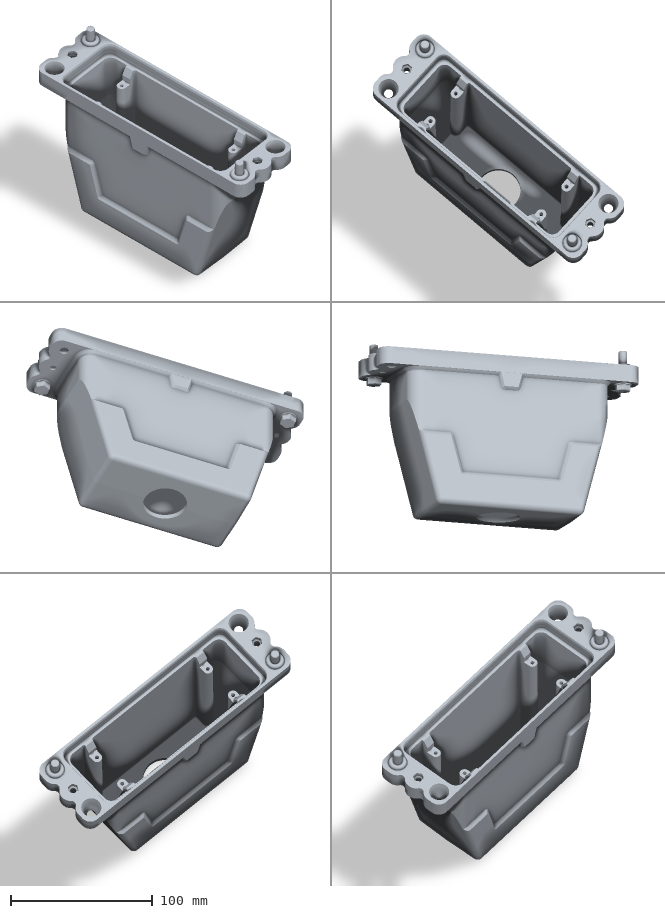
import cadquery as cq
import math


OVERALL_HEIGHT = 122.7

FLANGE_LENGTH = 193.0
FLANGE_WIDTH = 58.0
FLANGE_THICKNESS = 12.2
FLANGE_BOTTOM = -FLANGE_THICKNESS
CORNER_RADIUS = 7.3
CORNER_FLAT = 4.6
NOTCH_Y = 8.75
NOTCH_RADIUS = 3.2

BODY_LENGTH = 150.0
BODY_WIDTH = 53.2
BODY_CORNER_RADIUS = 9.0
BODY_BOTTOM = -111.0
SLOPE_TOP = -35.0
WALL_SLOPE = math.tan(math.radians(15.0))
MOULD_DRAFT = 1.0
COLLAR = 2.3
COLLAR_ANGLE = 45.0

BAND_RISE = (FLANGE_WIDTH - BODY_WIDTH) / 2
BAND_TOP = -58.0
BAND_DIP = -85.8
BAND_DIP_HALF_TOP = 43.0
BAND_DIP_HALF_BOTTOM = 35.3
BAND_BEVEL = 50.0
BAND_EDGE_RADIUS = 4.0
BAND_SHOULDER_RADIUS = 3.5
LUG_RISE = 2.3
LUG_BOTTOM = -24.4
LUG_HALF_TOP = 10.0
LUG_HALF_BOTTOM = 6.7
LUG_CORNER_RADIUS = 2.5
LUG_BEVEL = 42.0

RIM_LENGTH = 152.0
RIM_WIDTH = 54.0
RIM_RADIUS = 7.0
RIM_BEVEL = 0.6
RIM_BEVEL_DEPTH = 1.4
RECESS_DEPTH = 5.8
LEDGE_BEVEL = 0.6
LEDGE_Z = -8.4

OPENING_LENGTH = 143.6
OPENING_WIDTH = 46.8
FLOOR_WIDTH = 43.2
CAVITY_SLOPE_TOP = -42.0
CAVITY_SLOPE_HALF_LENGTH = 70.0
FLOOR_HALF_LENGTH = 52.5
FLOOR_Z = CAVITY_SLOPE_TOP - (CAVITY_SLOPE_HALF_LENGTH - FLOOR_HALF_LENGTH) / WALL_SLOPE
CAVITY_RADIUS = 6.0
FLOOR_RADIUS = 1.0
CABLE_HOLE_DIAMETER = 31.0

POST_X = 52.0
POST_Y = 13.5
POST_RADIUS = 3.5
POST_DRAFT = 0.4
POST_ROOT_RADIUS = 1.5
POST_TOP = -18.8
RAMP_HEAD_Y = 21.7
RAMP_FOOT_Y = 18.2
RAMP_FOOT_Z = -14.0
POST_WALL_Y = 24.0
POST_HOLE_DIAMETER = 2.8
POST_HOLE_DEPTH = 12.0

FASTENER_X = 86.2
FASTENER_Y = 19.4
SINK_RADIUS = 7.1
BOLT_RADIUS = 3.0
BOLT_TOP = BODY_BOTTOM + OVERALL_HEIGHT
BOLT_TIP_CHAMFER = 0.5
BOLT_CLEARANCE_RADIUS = 3.2
SEAL_RADIUS = 6.3
SEAL_HEIGHT = 2.0
SEAL_CREST_RADIUS = (SEAL_RADIUS + BOLT_RADIUS) / 2
SEAL_SEAT = -1.0
WASHER_RADIUS = 6.2
WASHER_THICKNESS = 0.8
HEX_ACROSS_CORNERS = 11.5
HEX_TURN = 23.0
HEX_HEIGHT = 4.2
HEX_CHAMFER = 0.5
NUT_HOLE_DIAMETER = 4.4
NUT_ACROSS_CORNERS = 7.8
NUT_DEPTH = 3.2


def rounded_prism(length, width, radius, top, height, taper=0.0):
    """Rounded rectangle extruded down from z = top; a positive taper shrinks it."""
    sketch = cq.Sketch().rect(length, width).vertices().fillet(radius)
    plane = cq.Workplane("XY").workplane(offset=top)
    return plane.placeSketch(sketch).extrude(-height, taper=taper)


def bevel_angle(inset, depth):
    """Taper, in degrees, that moves a wall inwards by inset over the given depth."""
    return math.degrees(math.atan2(inset, depth))


def make_flange():
    """Plate whose ends carry two ears and a middle lobe joined by tangent notches."""
    half_length = FLANGE_LENGTH / 2
    half_width = FLANGE_WIDTH / 2
    ear_x = half_length - CORNER_RADIUS
    ear_y = half_width - CORNER_RADIUS - CORNER_FLAT
    ear_gap = CORNER_RADIUS + NOTCH_RADIUS
    notch_x = ear_x + math.sqrt(ear_gap ** 2 - (ear_y - NOTCH_Y) ** 2)

    setback = notch_x - half_length
    lobe_radius = (setback ** 2 + NOTCH_Y ** 2 - NOTCH_RADIUS ** 2) / (2 * (NOTCH_RADIUS - setback))
    lobe_x = half_length - lobe_radius

    ear_share = CORNER_RADIUS / ear_gap
    lobe_share = lobe_radius / (lobe_radius + NOTCH_RADIUS)
    ear_tangent = (ear_x + (notch_x - ear_x) * ear_share, ear_y + (NOTCH_Y - ear_y) * ear_share)
    lobe_tangent = (lobe_x + (notch_x - lobe_x) * lobe_share, NOTCH_Y * lobe_share)
    ear_start = (half_length, ear_y)
    flat_end = (half_length, half_width - CORNER_RADIUS)
    half_lobe_end = (half_length, 0)
    diagonal = CORNER_RADIUS * math.sqrt(0.5)
    corner_mid = (ear_x + diagonal, half_width - CORNER_RADIUS + diagonal)

    ear_angle = math.atan2(ear_tangent[1] - ear_y, ear_tangent[0] - ear_x) / 2
    ear_mid = (ear_x + CORNER_RADIUS * math.cos(ear_angle), ear_y + CORNER_RADIUS * math.sin(ear_angle))
    lobe_angle = math.atan2(lobe_tangent[1], lobe_tangent[0] - lobe_x) / 2
    lobe_mid = (lobe_x + lobe_radius * math.cos(lobe_angle), lobe_radius * math.sin(lobe_angle))

    quarter = (
        cq.Workplane("XY")
        .lineTo(*half_lobe_end)
        .threePointArc(lobe_mid, lobe_tangent)
        .threePointArc((notch_x - NOTCH_RADIUS, NOTCH_Y), ear_tangent)
        .threePointArc(ear_mid, ear_start)
        .lineTo(*flat_end)
        .threePointArc(corner_mid, (ear_x, half_width))
        .lineTo(0, half_width)
        .close()
        .extrude(-FLANGE_THICKNESS)
    )
    half = quarter.union(quarter.mirror("XZ"))
    return half.union(half.mirror("YZ")).clean()


def drafted_front(half_width):
    """Front half of the housing envelope, drafted away from the parting plane."""
    half_top = BODY_LENGTH / 2
    half_bottom = half_top - (SLOPE_TOP - BODY_BOTTOM) * WALL_SLOPE
    outline = [
        (-half_top, 0),
        (-half_top, SLOPE_TOP),
        (-half_bottom, BODY_BOTTOM),
        (half_bottom, BODY_BOTTOM),
        (half_top, SLOPE_TOP),
        (half_top, 0),
    ]
    front = cq.Workplane("XZ").polyline(outline).close().extrude(half_width, taper=MOULD_DRAFT)
    above = cq.Workplane("XY", origin=(0, 0, FLANGE_BOTTOM)).rect(BODY_LENGTH, FLANGE_WIDTH)
    return front.cut(above.extrude(FLANGE_THICKNESS))


def make_band():
    """Thickened lower part of the housing with a bevelled, dipped upper edge."""
    front = drafted_front(FLANGE_WIDTH / 2)
    bottom_edges = front.faces("<Z").edges("not >Y")
    side_edges = front.faces("<Y").edges("not (>Z or <Z)")
    front = bottom_edges.add(side_edges).fillet(BAND_EDGE_RADIUS)
    band = front.union(front.mirror("XZ"))
    outline = [
        (-BODY_LENGTH, 0),
        (-BODY_LENGTH, BAND_TOP),
        (-BAND_DIP_HALF_TOP, BAND_TOP),
        (-BAND_DIP_HALF_BOTTOM, BAND_DIP),
        (BAND_DIP_HALF_BOTTOM, BAND_DIP),
        (BAND_DIP_HALF_TOP, BAND_TOP),
        (BODY_LENGTH, BAND_TOP),
        (BODY_LENGTH, 0),
    ]
    blank = cq.Workplane("XZ").polyline(outline).close().extrude(BODY_WIDTH / 2)
    shoulder_reach = BAND_DIP_HALF_TOP + BAND_SHOULDER_RADIUS
    shoulders = cq.selectors.BoxSelector(
        (-shoulder_reach, -BODY_WIDTH, BAND_TOP - BAND_SHOULDER_RADIUS),
        (shoulder_reach, BODY_WIDTH, BAND_TOP + BAND_SHOULDER_RADIUS),
    )
    blank = blank.edges("|Y").edges(shoulders).fillet(BAND_SHOULDER_RADIUS)
    relief = blank.faces("<Y").wires().toPending().workplane().extrude(
        BAND_RISE, taper=-BAND_BEVEL, combine=False
    )
    above = cq.Workplane("XY", origin=(0, 0, BAND_TOP)).rect(2 * BODY_LENGTH, BODY_WIDTH).extrude(-BAND_TOP)
    return band.cut(relief).cut(relief.mirror("XZ")).cut(above)


def make_lugs():
    """Bevelled trapezoid lugs under the flange on the front and back walls."""
    root = FLANGE_BOTTOM / 2
    flare = (LUG_HALF_TOP - LUG_HALF_BOTTOM) / (FLANGE_BOTTOM - LUG_BOTTOM)
    root_half = LUG_HALF_TOP + (root - FLANGE_BOTTOM) * flare
    outline = [
        (-root_half, root),
        (-LUG_HALF_BOTTOM, LUG_BOTTOM),
        (LUG_HALF_BOTTOM, LUG_BOTTOM),
        (root_half, root),
    ]
    blank = cq.Workplane("XZ").polyline(outline).close().extrude(BODY_WIDTH / 2)
    blank = blank.edges("|Y and <Z").fillet(LUG_CORNER_RADIUS)
    lug = blank.faces("<Y").wires().toPending().workplane().extrude(
        LUG_RISE, taper=LUG_BEVEL, combine=False
    )
    return lug.union(lug.mirror("XZ"))


def make_corner_limit():
    """Upright prism with drafted ends that rounds the upper corners of the housing."""
    half_width = BODY_WIDTH / 2
    half_length = BODY_LENGTH / 2
    corner_x = half_length - half_width * math.tan(math.radians(MOULD_DRAFT))
    outline = [
        (half_length, 0),
        (corner_x, half_width),
        (-corner_x, half_width),
        (-half_length, 0),
        (-corner_x, -half_width),
        (corner_x, -half_width),
    ]
    prism = cq.Workplane("XY", origin=(0, 0, BAND_TOP)).polyline(outline).close()
    prism = prism.extrude(FLANGE_BOTTOM - BAND_TOP)
    return prism.faces(">Y or <Y").edges("|Z").fillet(BODY_CORNER_RADIUS)


def make_housing():
    """Solid outer body below the flange: shell, lower band, collar and lugs."""
    front = drafted_front(BODY_WIDTH / 2)
    shell = front.union(front.mirror("XZ")).intersect(make_corner_limit())
    collar = rounded_prism(
        BODY_LENGTH + 2 * COLLAR,
        BODY_WIDTH + 2 * COLLAR,
        BODY_CORNER_RADIUS + COLLAR,
        FLANGE_BOTTOM,
        COLLAR,
        taper=COLLAR_ANGLE,
    )
    return shell.union(make_band()).union(collar).union(make_lugs())


def make_recess():
    """Stepped sealing recess: bevelled rim, straight wall, bevel down to the ledge."""
    length = RIM_LENGTH - 2 * RIM_BEVEL
    width = RIM_WIDTH - 2 * RIM_BEVEL
    radius = RIM_RADIUS - RIM_BEVEL
    rim_taper = bevel_angle(RIM_BEVEL, RIM_BEVEL_DEPTH)
    rim = rounded_prism(RIM_LENGTH, RIM_WIDTH, RIM_RADIUS, 0, RIM_BEVEL_DEPTH, rim_taper)
    wall = rounded_prism(length, width, radius, 0, RECESS_DEPTH)
    foot_depth = -LEDGE_Z - RECESS_DEPTH
    foot_taper = bevel_angle(LEDGE_BEVEL, foot_depth)
    foot = rounded_prism(length, width, radius, -RECESS_DEPTH, foot_depth, foot_taper)
    return rim.union(wall).union(foot)


def make_post(side_x, side_y):
    """Drafted screw post rooted in a side wall, with a ramp above its screw seat."""
    reach = POST_WALL_Y - POST_Y
    post = (
        cq.Workplane("XY", origin=(0, 0, LEDGE_Z))
        .moveTo(POST_RADIUS, reach)
        .lineTo(POST_RADIUS, 0)
        .threePointArc((0, -POST_RADIUS), (-POST_RADIUS, 0))
        .lineTo(-POST_RADIUS, reach)
        .close()
        .extrude(FLOOR_Z - LEDGE_Z, taper=-POST_DRAFT)
        .translate((POST_X, POST_Y, 0))
    )
    ramp_outline = [
        (0, LEDGE_Z),
        (0, POST_TOP),
        (RAMP_FOOT_Y, POST_TOP),
        (RAMP_FOOT_Y, RAMP_FOOT_Z),
        (RAMP_HEAD_Y, LEDGE_Z),
    ]
    ramp_cut = (
        cq.Workplane("YZ", origin=(POST_X, 0, 0))
        .polyline(ramp_outline)
        .close()
        .extrude(2 * POST_RADIUS, both=True)
    )
    hole = cq.Workplane("XY", origin=(POST_X, POST_Y, POST_TOP)).circle(POST_HOLE_DIAMETER / 2)
    post = post.cut(ramp_cut).cut(hole.extrude(-POST_HOLE_DEPTH))
    if side_x < 0:
        post = post.mirror("YZ")
    if side_y < 0:
        post = post.mirror("XZ")
    return post


def make_cavity():
    """Tapered inner space, less the four screw posts."""
    half_length = OPENING_LENGTH / 2
    lengthwise = [
        (-half_length, LEDGE_Z),
        (-CAVITY_SLOPE_HALF_LENGTH, CAVITY_SLOPE_TOP),
        (-FLOOR_HALF_LENGTH, FLOOR_Z),
        (FLOOR_HALF_LENGTH, FLOOR_Z),
        (CAVITY_SLOPE_HALF_LENGTH, CAVITY_SLOPE_TOP),
        (half_length, LEDGE_Z),
    ]
    crosswise = [
        (-OPENING_WIDTH / 2, LEDGE_Z),
        (-FLOOR_WIDTH / 2, FLOOR_Z),
        (FLOOR_WIDTH / 2, FLOOR_Z),
        (OPENING_WIDTH / 2, LEDGE_Z),
    ]
    space = cq.Workplane("XZ").polyline(lengthwise).close().extrude(OPENING_WIDTH, both=True)
    limit = cq.Workplane("YZ").polyline(crosswise).close().extrude(OPENING_LENGTH, both=True)
    space = space.intersect(limit).edges("not (|X or |Y)").fillet(CAVITY_RADIUS)
    for side_x in (-1, 1):
        for side_y in (-1, 1):
            space = space.cut(make_post(side_x, side_y))
            near = (side_x * (POST_X - 2 * POST_RADIUS), side_y * RAMP_HEAD_Y, FLOOR_Z)
            far = (side_x * (POST_X - POST_RADIUS / 2), side_y * OPENING_WIDTH / 2, POST_TOP)
            space = space.edges(cq.selectors.BoxSelector(near, far)).fillet(POST_ROOT_RADIUS)
    return space.faces("<Z").edges().fillet(FLOOR_RADIUS)


def make_countersink():
    """Cone running through the flange down to the bolt clearance."""
    return (
        cq.Workplane("XY")
        .circle(SINK_RADIUS)
        .workplane(offset=FLANGE_BOTTOM)
        .circle(BOLT_CLEARANCE_RADIUS)
        .loft()
    )


def make_bolt():
    """Captive hex bolt with washer below the flange and a domed seal above it."""
    shank = cq.Workplane("XY", origin=(0, 0, FLANGE_BOTTOM)).circle(BOLT_RADIUS)
    shank = shank.extrude(BOLT_TOP - FLANGE_BOTTOM).faces(">Z").chamfer(BOLT_TIP_CHAMFER)
    below_seat = cq.Workplane("XY", origin=(0, 0, SEAL_SEAT)).circle(SINK_RADIUS).extrude(FLANGE_BOTTOM)
    plug = make_countersink().intersect(below_seat)
    seal = (
        cq.Workplane("XZ")
        .moveTo(0, SEAL_SEAT)
        .lineTo(SEAL_RADIUS, SEAL_SEAT)
        .lineTo(SEAL_RADIUS, 0)
        .threePointArc((SEAL_CREST_RADIUS, SEAL_HEIGHT), (BOLT_RADIUS, 0))
        .lineTo(0, 0)
        .close()
        .revolve(360, (0, 0, 0), (0, 1, 0))
    )
    washer = cq.Workplane("XY", origin=(0, 0, FLANGE_BOTTOM)).circle(WASHER_RADIUS).extrude(-WASHER_THICKNESS)
    head = cq.Workplane("XY", origin=(0, 0, FLANGE_BOTTOM - WASHER_THICKNESS))
    head = head.polygon(6, HEX_ACROSS_CORNERS).extrude(-HEX_HEIGHT).faces("<Z").chamfer(HEX_CHAMFER)
    head = head.rotate((0, 0, 0), (0, 0, 1), HEX_TURN)
    return plug.union(seal).union(shank).union(washer).union(head)


def make_nut_pocket():
    """Hexagonal nut pocket over a through hole."""
    hole = cq.Workplane("XY").circle(NUT_HOLE_DIAMETER / 2).extrude(FLANGE_BOTTOM)
    return hole.union(cq.Workplane("XY").polygon(6, NUT_ACROSS_CORNERS).extrude(-NUT_DEPTH))


result = make_flange().union(make_housing())
result = result.cut(make_recess()).cut(make_cavity())
result = result.cut(cq.Workplane("XY").circle(CABLE_HOLE_DIAMETER / 2).extrude(BODY_BOTTOM))

for end in (-1, 1):
    result = result.cut(make_nut_pocket().translate((end * FASTENER_X, 0, 0)))
    for side in (-1, 1):
        result = result.cut(make_countersink().translate((end * FASTENER_X, side * FASTENER_Y, 0)))
    result = result.union(make_bolt().translate((end * FASTENER_X, -end * FASTENER_Y, 0)))